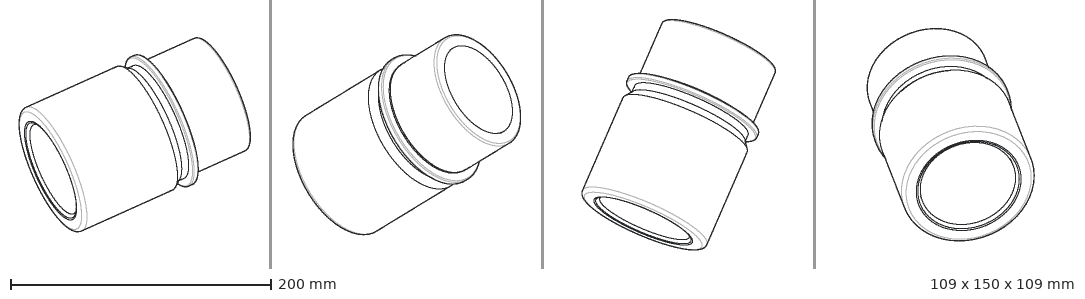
import cadquery as cq

total_length = 150.0

body_radius = 52.2
body_length = 82.6
spigot_radius = 47.5
shoulder_length = 6.3
flange_diameter = 109.0
flange_radius = flange_diameter / 2
flange_thickness = 5.0
flange_rear = total_length * 2 / 3
flange_front = flange_rear - flange_thickness

relief_width = 1.2
relief_depth = 0.5

body_round = 3.0
flange_round = 0.9
spigot_round = 1.5

bore_radius = 37.5
lead_radius = 39.9
lead_depth = 2.2
mouth_radius = 41.2
mouth_depth = 0.5


def ring(radius, start, end):
    """Solid cylinder about the Y axis between two Y positions."""
    disc = cq.Workplane("XZ", origin=(0, start, 0)).circle(radius)
    return disc.extrude(start - end)


def turned(points):
    """Revolve a closed outline of (radius, Y) points about the Y axis."""
    return cq.Workplane("XY").polyline(points).close().revolve(360, (0, 0, 0), (0, 1, 0))


def make_body():
    shoulder_end = body_length + shoulder_length
    cylinder = ring(body_radius, 0, body_length).faces("<Y").edges().fillet(body_round)
    shoulder = turned([
        (0, body_length),
        (body_radius, body_length),
        (spigot_radius, shoulder_end),
        (0, shoulder_end),
    ])
    return cylinder.union(shoulder)


def make_spigot():
    relief_end = flange_rear + relief_width
    neck = ring(spigot_radius, body_length + shoulder_length, flange_front)
    relief = ring(spigot_radius - relief_depth, flange_rear, relief_end)
    seat = ring(spigot_radius, relief_end, total_length)
    seat = seat.faces(">Y").edges().fillet(spigot_round)
    seat = seat.faces("<Y").edges().chamfer(relief_depth)
    return neck.union(relief).union(seat)


def make_flange():
    return ring(flange_radius, flange_front, flange_rear).edges().fillet(flange_round)


def make_bore():
    lead_end = mouth_depth + lead_depth
    return turned([
        (0, 0),
        (mouth_radius, 0),
        (lead_radius, mouth_depth),
        (bore_radius, lead_end),
        (bore_radius, total_length),
        (0, total_length),
    ])


result = make_body().union(make_spigot()).union(make_flange()).cut(make_bore())